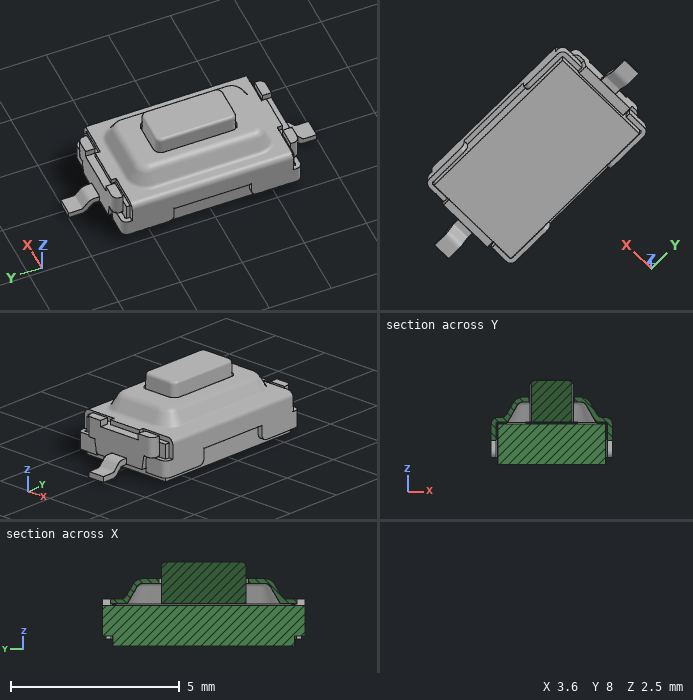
import cadquery as cq
import math


base_width = 3.2
base_length = 5.4
end_block_width = 2.7
end_block_length = 6.0
end_block_bottom = 0.3
post_corner_radius = 0.2
post_gap = 1.52
foot_top_width = 2.0
foot_bottom_width = 1.84

cover_width = 3.6
cover_length = 5.8
cover_bottom = 0.2
cover_top = 1.4
sheet = 0.15
fold_radius = 0.2
plate_length = 5.2
tongue_width = 1.18
tongue_length = 5.52
tab_top = 0.75
tab_gap = foot_top_width
tab_corner_radius = 0.15
side_notch_length = 2.5
side_notch_top = 0.7
side_notch_radius = 0.2

dome_top = 2.0
dome_width = 2.79
dome_length = 4.7
dome_corner_radius = 0.65
dome_slope = 30.0
dome_top_radius = 0.34
dome_root_radius = 0.19

button_width = 1.29
button_length = 2.59
button_top = 2.5
button_corner_radius = 0.2
button_edge_radius = 0.1
button_clearance = 0.05

overall_length = 8.0
terminal_width = 0.6
terminal_thickness = 0.19
terminal_inner_radius = 0.1
bend_start = 3.61
bend_angle = 48.0

cover_gap = (cover_width - base_width) / 2 - sheet
plate_underside = cover_top - sheet
base_top = plate_underside - cover_gap
inner_width = cover_width - 2 * sheet
inner_length = cover_length - 2 * sheet
inner_fold_radius = fold_radius - sheet


def block(width, length, bottom, top):
    """Box centred on X = Y = 0 between two heights."""
    return cq.Workplane("XY").workplane(offset=bottom).rect(width, length).extrude(top - bottom)


def make_base():
    core = block(base_width, base_length, 0, base_top)
    posts = block(end_block_width, end_block_length, tab_top, cover_top)
    posts = posts.edges("|Z").fillet(post_corner_radius)
    posts = posts.cut(block(end_block_width, base_length, base_top, cover_top))
    posts = posts.cut(block(post_gap, end_block_length, base_top, cover_top))
    feet = (
        cq.Workplane("XZ")
        .moveTo(-foot_bottom_width / 2, end_block_bottom)
        .lineTo(foot_bottom_width / 2, end_block_bottom)
        .lineTo(foot_top_width / 2, tab_top)
        .lineTo(-foot_top_width / 2, tab_top)
        .close()
        .extrude(end_block_length / 2, both=True)
    )
    return core.union(posts).union(feet)


def folded_shell():
    """Sheet-metal box, open below, rounded along its folds."""
    blank = block(cover_width, cover_length, cover_bottom, cover_top)
    rounded_corners = blank.edges("|Z").fillet(fold_radius)
    rounded_top = blank.edges("|Y and >Z").fillet(fold_radius)
    outer = rounded_corners.intersect(rounded_top)
    inner = block(inner_width, inner_length, cover_bottom, plate_underside)
    inner = inner.edges("|Z or (|Y and >Z)").fillet(inner_fold_radius)
    return outer.cut(inner)


def end_opening():
    """Opening through both end walls: all of the upper wall and the gap between the lower tabs."""
    upper = block(cover_width, cover_length, tab_top, cover_top)
    upper = upper.cut(block(cover_width, plate_length, tab_top, cover_top))
    gap = block(tab_gap, cover_length, cover_bottom, tab_top)
    corner = tab_gap / 2 + tab_corner_radius
    corners = block(2 * corner, cover_length, tab_top - tab_corner_radius, tab_top)
    for side in (-1, 1):
        rounding = (
            cq.Workplane("XZ")
            .center(side * corner, tab_top - tab_corner_radius)
            .circle(tab_corner_radius)
            .extrude(cover_length / 2, both=True)
        )
        corners = corners.cut(rounding)
    lower = gap.union(corners).cut(block(cover_width, inner_length, cover_bottom, tab_top))
    return upper.union(lower)


def side_notch():
    """Notch through both side walls, flared by rounds at the lower edge."""
    half = side_notch_length / 2
    r = side_notch_radius
    return (
        cq.Workplane("YZ")
        .moveTo(-half - r, cover_bottom)
        .radiusArc((-half, cover_bottom + r), -r)
        .lineTo(-half, side_notch_top)
        .lineTo(half, side_notch_top)
        .lineTo(half, cover_bottom + r)
        .radiusArc((half + r, cover_bottom), -r)
        .close()
        .extrude(cover_width / 2, both=True)
    )


def dome_solid(inset, bottom, top, top_radius):
    """Sloping-walled dome whose walls lie inside the outer dome walls by the given distance."""
    slope = math.radians(dome_slope)
    spread = (cover_top - bottom) * math.tan(slope) - inset / math.cos(slope)
    outline = cq.Sketch().rect(dome_width + 2 * spread, dome_length + 2 * spread)
    outline = outline.vertices().fillet(dome_corner_radius + spread)
    dome = cq.Workplane("XY").workplane(offset=bottom).placeSketch(outline)
    dome = dome.extrude(top - bottom, taper=dome_slope)
    return dome.faces(">Z").edges().fillet(top_radius)


def dome_root():
    """Selector for the edges where the dome meets the flat plate."""
    margin = sheet / 2
    x = dome_width / 2 + margin
    y = dome_length / 2 + margin
    return cq.selectors.BoxSelector((-x, -y, cover_top - margin), (x, y, cover_top + margin))


def end_tongues():
    """Tongues of the plate reaching between the posts at both ends."""
    strip = block(tongue_width, tongue_length, plate_underside, cover_top)
    return strip.cut(block(tongue_width, plate_length, plate_underside, cover_top))


def button_hole():
    width = button_width + 2 * button_clearance
    length = button_length + 2 * button_clearance
    hole = block(width, length, plate_underside, dome_top)
    return hole.edges("|Z").fillet(button_corner_radius + button_clearance)


def make_cover():
    cover = folded_shell().cut(end_opening()).cut(side_notch())
    cover = cover.union(dome_solid(0, cover_top, dome_top, dome_top_radius))
    cover = cover.edges(dome_root()).fillet(dome_root_radius)
    cavity = dome_solid(sheet, plate_underside, dome_top - sheet, dome_top_radius - sheet)
    return cover.union(end_tongues()).cut(cavity).cut(button_hole())


def make_button():
    button = block(button_width, button_length, plate_underside, button_top)
    button = button.edges("|Z").fillet(button_corner_radius)
    return button.faces(">Z").edges().fillet(button_edge_radius)


def make_terminal(end):
    """Terminal at the -Y (end = -1) or +Y (end = 1) end of the base."""
    angle = math.radians(bend_angle)
    outer_radius = terminal_inner_radius + terminal_thickness
    inner_trim = terminal_inner_radius * math.tan(angle / 2)
    outer_trim = outer_radius * math.tan(angle / 2)
    rise = end_block_bottom
    run = rise / math.tan(angle)
    tip = overall_length / 2
    root = end_block_length / 2
    low_upper = (bend_start - inner_trim, terminal_thickness)
    low_under = (bend_start - outer_trim, 0)
    high_upper = (low_upper[0] - run, rise + terminal_thickness)
    high_under = (low_under[0] - run, rise)
    strip = (
        cq.Workplane("YZ")
        .moveTo(tip, 0)
        .lineTo(tip, terminal_thickness)
        .lineTo(*low_upper)
        .lineTo(*high_upper)
        .lineTo(root, rise + terminal_thickness)
        .lineTo(root, rise)
        .lineTo(*high_under)
        .lineTo(*low_under)
        .close()
        .extrude(terminal_width / 2, both=True)
    )
    bends = (
        (low_upper, terminal_inner_radius),
        (low_under, outer_radius),
        (high_upper, outer_radius),
        (high_under, terminal_inner_radius),
    )
    for (y, z), radius in bends:
        corner = cq.selectors.NearestToPointSelector((0, y, z))
        strip = strip.edges("|X").edges(corner).fillet(radius)
    if end < 0:
        strip = strip.mirror("XZ")
    return strip


base = make_base()
cover = make_cover()
button = make_button()
terminals = [make_terminal(end) for end in (-1, 1)]

bodies = [base, cover, button, *terminals]

result = cq.Compound.makeCompound([body.solids().val() for body in bodies])